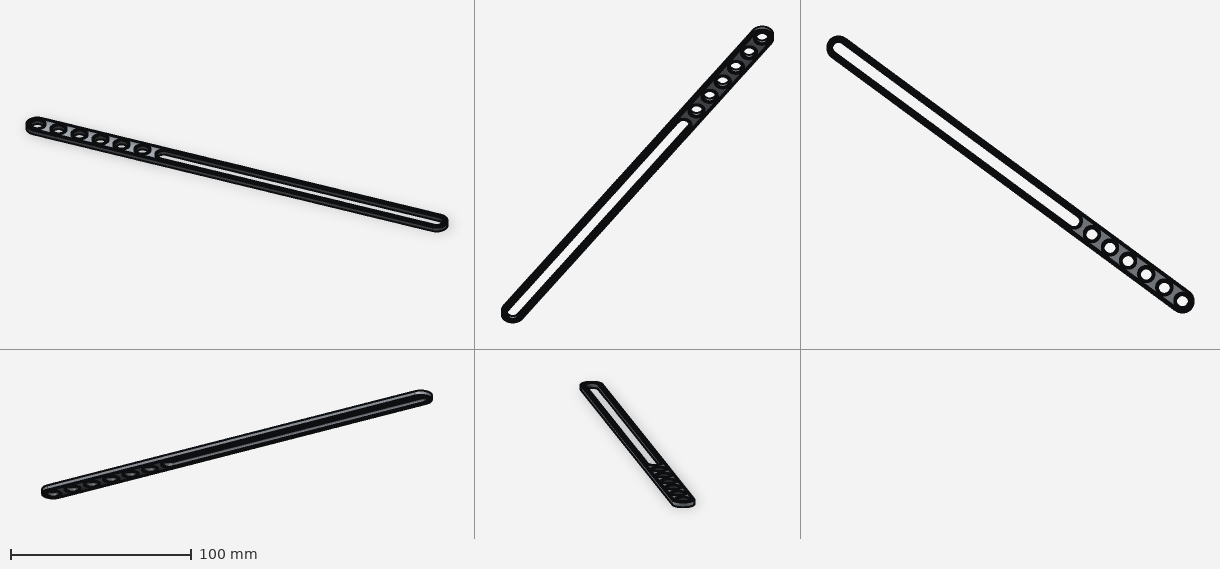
import cadquery as cq

pitch = 12.5
length = 20 * pitch
width = pitch
thickness = pitch / 4

hole_count = 6
opening_width = 7.0

edge_chamfer = 0.3
raised_opening_width = 9.2
rim_width = (raised_opening_width - opening_width) / 2
recess_depth = 0.2

last_center_x = (length - width) / 2
first_hole_x = -last_center_x
slot_start_x = first_hole_x + hole_count * pitch


def round_ended_plate(margin, height):
    """Plate centred on the origin, its outline set in from the bar by a margin."""
    outline = cq.Workplane("XY").slot2D(length - 2 * margin, width - 2 * margin)
    return outline.extrude(height / 2, both=True)


def openings(opening, height):
    """Solid filling all the holes and the slot, at the given opening width."""
    hole_centers = [(first_hole_x + i * pitch, 0) for i in range(hole_count)]
    holes = cq.Workplane("XY").pushPoints(hole_centers).circle(opening / 2)
    slot_center_x = (slot_start_x + last_center_x) / 2
    slot_length = last_center_x - slot_start_x + opening
    slot = cq.Workplane("XY").center(slot_center_x, 0).slot2D(slot_length, opening)
    return holes.extrude(height / 2, both=True).union(slot.extrude(height / 2, both=True))


def make_bar():
    """Round-ended bar with its openings, every top and bottom edge chamfered."""
    bar = round_ended_plate(0, thickness).cut(openings(opening_width, thickness))
    return bar.faces("<Z or >Z").chamfer(edge_chamfer)


def make_recesses():
    """Shallow pockets on both faces, filling the area between the raised rims."""
    area = round_ended_plate(rim_width, thickness).cut(openings(raised_opening_width, thickness))
    core = cq.Workplane("XY").box(length, width, thickness - 2 * recess_depth)
    return area.cut(core)


result = make_bar().cut(make_recesses())